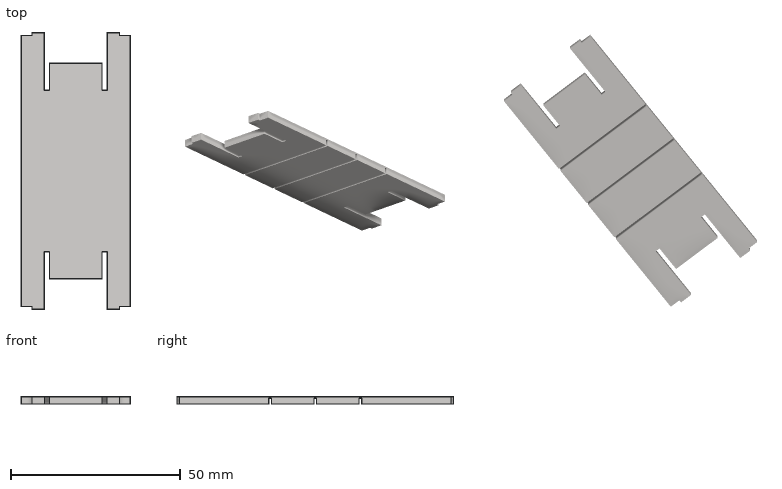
import cadquery as cq

length = 81.6
width = 32.2
thickness = 2.2

tip_step_width = 3.2
tip_step_length = 0.8
tongue_width = 15.5
tongue_setback = 9.0
slot_width = 1.5
slot_end_depth = 17.0

groove_count = 3
groove_width = 0.7
groove_depth = 1.7
groove_pitch = 13.3

arm_gap = tongue_width + 2 * slot_width


def end_cut(x_center, x_size, depth):
    """Rectangular cutters through the plate, reaching inward from both ends."""
    y_center = (length - depth) / 2
    return (
        cq.Workplane("XY")
        .pushPoints([(x_center, y_center), (x_center, -y_center)])
        .rect(x_size, depth)
        .extrude(thickness)
    )


def underside_grooves():
    """Evenly spaced grooves running the full width in X."""
    return (
        cq.Workplane("XY")
        .rarray(0.8, groove_pitch, 1, groove_count)
        .rect(width, groove_width)
        .extrude(groove_depth)
    )


result = cq.Workplane("XY").rect(width, length).extrude(thickness)

result = result.cut(end_cut(0, arm_gap, tongue_setback))

for side in (-1, 1):
    slot_x = side * (tongue_width + slot_width) / 2
    step_x = side * (width - tip_step_width) / 2
    result = result.cut(end_cut(slot_x, slot_width, slot_end_depth))
    result = result.cut(end_cut(step_x, tip_step_width, tip_step_length))

result = result.cut(underside_grooves())